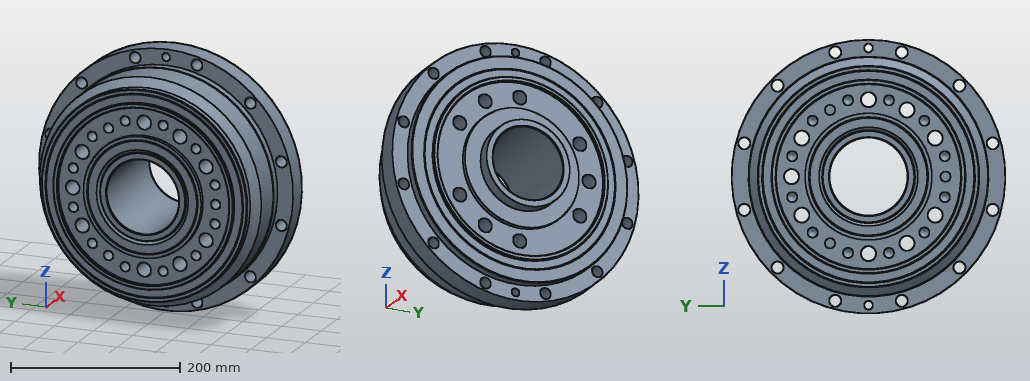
import cadquery as cq
import math

EDGE_CHAMFER = 1.0
SEAM_CHAMFER = 0.5

FLANGE_DIAMETER = 323.8
FLANGE_FRONT = 75.0
FLANGE_BACK = 103.5
HOUSING_FRONT = 6.0
HOUSING_BACK = 115.3
NOSE_DIAMETER = 262.2
NOSE_BACK = 16.0
BARREL_DIAMETER = 282.3
BARREL_FRONT = NOSE_BACK + (BARREL_DIAMETER - NOSE_DIAMETER) / 2
SPIGOT_DIAMETER = 284.0
SPIGOT_FRONT = 63.8
FLANGE_HOLE_CIRCLE = 304.0
BOLT_HOLE_DIAMETER = 14.0
BOLT_HOLE_COUNT = 12
DOWEL_HOLE_DIAMETER = 10.0
DOWEL_HOLE_COUNT = 2

CARRIER_DIAMETER = 230.0
CARRIER_RIM_INNER_DIAMETER = 218.2
CARRIER_HUB_DIAMETER = 150.0
CARRIER_LENGTH = 121.0
RIM_SETBACK = 2.3
FACE_SETBACK = 5.8
HOLE_PITCH = 30.0
THROUGH_HOLE_CIRCLE = 182.0
THROUGH_HOLE_DIAMETER = 17.5
BLIND_HOLE_ANGLES = (0.0, 120.0, 240.0)
BLIND_HOLE_DIAMETER = 12.0
BLIND_HOLE_DEPTH = 26.0
TAPPED_HOLE_CIRCLE = 186.8
TAPPED_HOLE_DIAMETER = 12.0
TAPPED_HOLE_DEPTH = 22.7
DRILL_POINT_ANGLE = 118.0

OUTER_SEAL_DIAMETER = 251.0
INNER_SEAL_DIAMETER = 140.0
SEAL_WIDTH = 13.0
INNER_SEAL_BORE_DIAMETER = 110.0
INNER_SEAL_BEVEL_DIAMETER = 117.0
INNER_SEAL_BEVEL_DEPTH = 2.5

SHAFT_DIAMETER = 109.0
SHAFT_BORE_DIAMETER = 92.0
SHAFT_FRONT = 1.0
SHAFT_BACK = 138.0


def revolve_profile(points):
    """Solid of revolution about X from (x, diameter) points."""
    profile = [(x, diameter / 2) for x, diameter in points]
    return cq.Workplane("XZ").polyline(profile).close().revolve(360, (0, 0), (1, 0))


def on_circle(circle_diameter, angle):
    """(y, z) of a place on a circle about X; angle runs from -Y towards +Z."""
    radius = circle_diameter / 2
    turn = math.radians(angle)
    return -radius * math.cos(turn), radius * math.sin(turn)


def drill(circle_diameter, angles, diameter, front, back, pointed=False):
    """Cutters along X from front to back, with a drill point beyond back if pointed."""
    profile = [(front, 0), (front, diameter), (back, diameter), (back, 0)]
    if pointed:
        point_length = diameter / 2 / math.tan(math.radians(DRILL_POINT_ANGLE / 2))
        profile[-1] = (back + point_length, 0)
    tool = revolve_profile(profile)
    cutters = cq.Workplane()
    for angle in angles:
        y, z = on_circle(circle_diameter, angle)
        cutters = cutters.add(tool.translate((0, y, z)))
    return cutters.combine()


def build_housing():
    chamfer_across = 2 * EDGE_CHAMFER
    seat_rim_diameter = OUTER_SEAL_DIAMETER + 2 * SEAM_CHAMFER
    housing = revolve_profile([
        (HOUSING_FRONT, seat_rim_diameter),
        (HOUSING_FRONT, NOSE_DIAMETER - chamfer_across),
        (HOUSING_FRONT + EDGE_CHAMFER, NOSE_DIAMETER),
        (NOSE_BACK, NOSE_DIAMETER),
        (BARREL_FRONT, BARREL_DIAMETER),
        (SPIGOT_FRONT, BARREL_DIAMETER),
        (SPIGOT_FRONT, SPIGOT_DIAMETER),
        (FLANGE_FRONT, SPIGOT_DIAMETER),
        (FLANGE_FRONT, FLANGE_DIAMETER),
        (FLANGE_BACK, FLANGE_DIAMETER),
        (FLANGE_BACK, SPIGOT_DIAMETER),
        (HOUSING_BACK - EDGE_CHAMFER, SPIGOT_DIAMETER),
        (HOUSING_BACK, SPIGOT_DIAMETER - chamfer_across),
        (HOUSING_BACK, seat_rim_diameter),
        (HOUSING_BACK - SEAM_CHAMFER, OUTER_SEAL_DIAMETER),
        (HOUSING_BACK - SEAL_WIDTH, OUTER_SEAL_DIAMETER),
        (HOUSING_BACK - SEAL_WIDTH, CARRIER_DIAMETER),
        (HOUSING_FRONT + SEAL_WIDTH, CARRIER_DIAMETER),
        (HOUSING_FRONT + SEAL_WIDTH, OUTER_SEAL_DIAMETER),
        (HOUSING_FRONT + SEAM_CHAMFER, OUTER_SEAL_DIAMETER),
    ])
    bolt_pitch = 360 / BOLT_HOLE_COUNT
    bolt_angles = [(i + 0.5) * bolt_pitch for i in range(BOLT_HOLE_COUNT)]
    dowel_angles = [90 + i * 360 / DOWEL_HOLE_COUNT for i in range(DOWEL_HOLE_COUNT)]
    housing = housing.cut(
        drill(FLANGE_HOLE_CIRCLE, bolt_angles, BOLT_HOLE_DIAMETER, FLANGE_FRONT, FLANGE_BACK)
    )
    return housing.cut(
        drill(FLANGE_HOLE_CIRCLE, dowel_angles, DOWEL_HOLE_DIAMETER, FLANGE_FRONT, FLANGE_BACK)
    )


def build_carrier():
    chamfer_across = 2 * EDGE_CHAMFER
    front_face = [
        (SEAM_CHAMFER, INNER_SEAL_DIAMETER),
        (0, INNER_SEAL_DIAMETER + 2 * SEAM_CHAMFER),
        (0, CARRIER_HUB_DIAMETER),
        (FACE_SETBACK, CARRIER_HUB_DIAMETER),
        (FACE_SETBACK, CARRIER_RIM_INNER_DIAMETER),
        (RIM_SETBACK + EDGE_CHAMFER, CARRIER_RIM_INNER_DIAMETER),
        (RIM_SETBACK, CARRIER_RIM_INNER_DIAMETER + chamfer_across),
        (RIM_SETBACK, CARRIER_DIAMETER - chamfer_across),
        (RIM_SETBACK + EDGE_CHAMFER, CARRIER_DIAMETER),
    ]
    back_face = [(CARRIER_LENGTH - x, diameter) for x, diameter in reversed(front_face[2:])]
    bore = [
        (CARRIER_LENGTH, SHAFT_DIAMETER),
        (SEAL_WIDTH, SHAFT_DIAMETER),
        (SEAL_WIDTH, INNER_SEAL_DIAMETER),
    ]
    carrier = revolve_profile(front_face + back_face + bore)

    pitch_angles = [i * HOLE_PITCH for i in range(round(360 / HOLE_PITCH))]
    through_angles = [angle for angle in pitch_angles if angle not in BLIND_HOLE_ANGLES]
    tapped_angles = [angle + HOLE_PITCH / 2 for angle in pitch_angles]
    carrier = carrier.cut(
        drill(THROUGH_HOLE_CIRCLE, through_angles, THROUGH_HOLE_DIAMETER, 0, CARRIER_LENGTH)
    )
    blind_bottom = FACE_SETBACK + BLIND_HOLE_DEPTH
    carrier = carrier.cut(
        drill(THROUGH_HOLE_CIRCLE, BLIND_HOLE_ANGLES, BLIND_HOLE_DIAMETER, 0, blind_bottom)
    )
    tapped_bottom = FACE_SETBACK + TAPPED_HOLE_DEPTH
    return carrier.cut(
        drill(TAPPED_HOLE_CIRCLE, tapped_angles, TAPPED_HOLE_DIAMETER, 0, tapped_bottom, pointed=True)
    )


def build_outer_seal():
    """Outer seal with its visible face at x = 0."""
    return revolve_profile([
        (0, CARRIER_DIAMETER),
        (0, OUTER_SEAL_DIAMETER - 2 * SEAM_CHAMFER),
        (SEAM_CHAMFER, OUTER_SEAL_DIAMETER),
        (SEAL_WIDTH, OUTER_SEAL_DIAMETER),
        (SEAL_WIDTH, CARRIER_DIAMETER),
    ])


def build_inner_seal():
    return revolve_profile([
        (0, INNER_SEAL_BEVEL_DIAMETER),
        (0, INNER_SEAL_DIAMETER - 2 * SEAM_CHAMFER),
        (SEAM_CHAMFER, INNER_SEAL_DIAMETER),
        (SEAL_WIDTH, INNER_SEAL_DIAMETER),
        (SEAL_WIDTH, INNER_SEAL_BORE_DIAMETER),
        (INNER_SEAL_BEVEL_DEPTH, INNER_SEAL_BORE_DIAMETER),
    ])


def build_shaft():
    return revolve_profile([
        (SHAFT_FRONT + EDGE_CHAMFER, SHAFT_BORE_DIAMETER),
        (SHAFT_FRONT, SHAFT_BORE_DIAMETER + 2 * EDGE_CHAMFER),
        (SHAFT_FRONT, SHAFT_DIAMETER - 2 * SEAM_CHAMFER),
        (SHAFT_FRONT + SEAM_CHAMFER, SHAFT_DIAMETER),
        (SHAFT_BACK, SHAFT_DIAMETER),
        (SHAFT_BACK, SHAFT_BORE_DIAMETER + 2 * EDGE_CHAMFER),
        (SHAFT_BACK - EDGE_CHAMFER, SHAFT_BORE_DIAMETER),
    ])


housing = build_housing()
carrier = build_carrier()
inner_seal = build_inner_seal()
shaft = build_shaft()

outer_seals = []
for face, facing in ((HOUSING_FRONT, 0), (HOUSING_BACK, 180)):
    seal = build_outer_seal().rotate((0, 0, 0), (0, 0, 1), facing)
    outer_seals.append(seal.translate((face, 0, 0)).val())

result = cq.Compound.makeCompound([
    housing.val(),
    carrier.val(),
    inner_seal.val(),
    shaft.val(),
    *outer_seals,
])